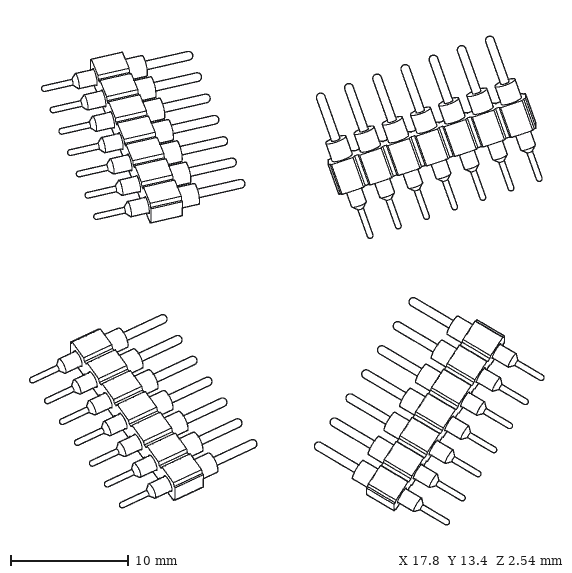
import cadquery as cq
import math

pin_count = 7
housing_length = 17.78
pitch = housing_length / pin_count
housing_height = pitch
housing_depth = 2.77
hole_diameter = 1.45

notch_depth = 0.37
notch_floor_width = 0.32
notch_mouth_width = 0.6

back_lead_diameter = 0.76
collar_diameter = 1.83
barrel_diameter = 1.35
front_lead_diameter = 0.52

back_tip_to_collar = 4.3
collar_length = 1.65
barrel_protrusion = 1.56
cone_length = (barrel_diameter - front_lead_diameter) / 2
cone_to_front_tip = 2.74

housing_back = housing_depth / 2
housing_front = -housing_depth / 2
collar_back = housing_back + collar_length
back_tip = collar_back + back_tip_to_collar
barrel_front = housing_front - barrel_protrusion
cone_front = barrel_front - cone_length
front_tip = cone_front - cone_to_front_tip

cell_centers = [(i - (pin_count - 1) / 2) * pitch for i in range(pin_count)]
notch_centers = [(i - pin_count / 2) * pitch for i in range(pin_count + 1)]


def make_notch_cutter(x, side):
    """Trapezoid groove along Y at x, in the top (side=1) or bottom (side=-1) face."""
    mouth_z = side * housing_height / 2
    floor_z = side * (housing_height / 2 - notch_depth)
    outline = [
        (x - notch_mouth_width / 2, mouth_z),
        (x - notch_floor_width / 2, floor_z),
        (x + notch_floor_width / 2, floor_z),
        (x + notch_mouth_width / 2, mouth_z),
    ]
    return cq.Workplane("XZ").polyline(outline).close().extrude(housing_depth / 2, both=True)


def make_housing():
    """Notched bar with one through hole per pin, slightly wider than the pin barrel."""
    housing = cq.Workplane("XY").box(housing_length, housing_depth, housing_height)
    for x in notch_centers:
        for side in (1, -1):
            housing = housing.cut(make_notch_cutter(x, side))
    holes = (
        cq.Workplane("XZ")
        .pushPoints([(x, 0) for x in cell_centers])
        .circle(hole_diameter / 2)
        .extrude(housing_depth / 2, both=True)
    )
    return housing.cut(holes)


def make_pin(x):
    """Pin turned about Y at x: hemispherical tips, collar seated on the back of the housing."""
    back_radius = back_lead_diameter / 2
    collar_radius = collar_diameter / 2
    barrel_radius = barrel_diameter / 2
    front_radius = front_lead_diameter / 2
    half_arc = math.sqrt(0.5)
    back_center = back_tip - back_radius
    front_center = front_tip + front_radius
    profile = (
        cq.Workplane("XY")
        .moveTo(0, back_tip)
        .threePointArc(
            (back_radius * half_arc, back_center + back_radius * half_arc),
            (back_radius, back_center),
        )
        .lineTo(back_radius, collar_back)
        .lineTo(collar_radius, collar_back)
        .lineTo(collar_radius, housing_back)
        .lineTo(barrel_radius, housing_back)
        .lineTo(barrel_radius, barrel_front)
        .lineTo(front_radius, cone_front)
        .lineTo(front_radius, front_center)
        .threePointArc(
            (front_radius * half_arc, front_center - front_radius * half_arc),
            (0, front_tip),
        )
        .close()
    )
    return profile.revolve(360, (0, 0, 0), (0, 1, 0)).translate((x, 0, 0))


housing = make_housing()
pins = [make_pin(x) for x in cell_centers]

result = cq.Compound.makeCompound([housing.val(), *[pin.val() for pin in pins]])